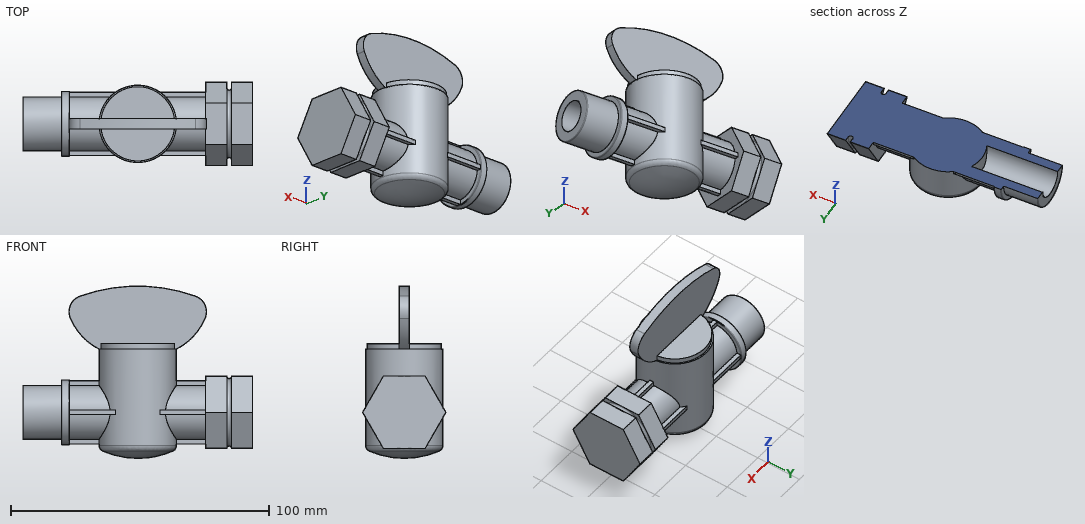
import math
import cadquery as cq


inlet_end_x = -44.5
outlet_end_x = -inlet_end_x
pipe_radius = 20.95 / 2
bore_radius = 12.59 / 2
edge_round = 0.25
collar_start_x = -29.6
collar_width = 3.2
collar_radius = 25.15 / 2
collar_end_x = collar_start_x + collar_width

rib_width = 1.85
rib_reach = 12.3

body_radius = 15.0
body_top_z = 24.45
dome_rim_z = -14.38
base_z = -17.88
base_round_radius = 2.4
overall_height = 66.81

cap_radius = 14.375
cap_top_z = 26.6
handle_thickness = 4.0
handle_top_z = base_z + overall_height
handle_top_radius = 66.0
handle_corner_x = 20.2
handle_corner_radius = 6.45
handle_side_angle = 23.0

hex_across_flats = 28.0
nut_start_x = 26.3
groove_start_x = 34.5
groove_end_x = 36.3
neck_radius = hex_across_flats / 2


def cylinder_along_x(radius, start_x, end_x):
    return cq.Workplane("YZ", origin=(start_x, 0, 0)).circle(radius).extrude(end_x - start_x)


def hexagon_along_x(start_x, end_x):
    """Hexagonal prism with corners on the Y axis and flats on top and bottom."""
    across_corners = hex_across_flats / math.cos(math.pi / 6)
    return cq.Workplane("YZ", origin=(start_x, 0, 0)).polygon(6, across_corners).extrude(end_x - start_x)


def make_pipe():
    pipe = cylinder_along_x(pipe_radius, inlet_end_x, nut_start_x)
    return pipe.faces("<X").edges().fillet(edge_round)


def make_collar():
    collar = cylinder_along_x(collar_radius, collar_start_x, collar_end_x)
    return collar.edges().fillet(edge_round)


def make_ribs():
    """Two crossed bars whose edges stand out as four ribs around the pipe."""
    length = nut_start_x - collar_end_x
    section = cq.Workplane("YZ", origin=(collar_end_x, 0, 0))
    upright = section.rect(rib_width, 2 * rib_reach).extrude(length)
    level = section.rect(2 * rib_reach, rib_width).extrude(length)
    return upright.union(level)


def make_body():
    """Cylinder with a rounded lower edge and a shallow domed base."""
    dome_drop = dome_rim_z - base_z
    dome_radius = (body_radius**2 + dome_drop**2) / (2 * dome_drop)
    body = (
        cq.Workplane("XZ")
        .moveTo(0, body_top_z)
        .lineTo(body_radius, body_top_z)
        .lineTo(body_radius, dome_rim_z)
        .radiusArc((0, base_z), dome_radius)
        .close()
        .revolve(360, (0, 0, 0), (0, 1, 0))
    )
    dome_rim = cq.selectors.NearestToPointSelector((0, 0, dome_rim_z))
    return body.edges("%CIRCLE").edges(dome_rim).fillet(base_round_radius)


def make_cap():
    return cq.Workplane("XY", origin=(0, 0, body_top_z)).circle(cap_radius).extrude(cap_top_z - body_top_z)


def make_handle():
    """Flat fan-shaped grip: crowned top, rounded corners, sides curving in to the body."""
    crown_center_z = handle_top_z - handle_top_radius
    center_gap = handle_top_radius - handle_corner_radius
    corner_z = crown_center_z + math.sqrt(center_gap**2 - handle_corner_x**2)
    crown_end_x = handle_corner_x * handle_top_radius / center_gap
    crown_end_z = crown_center_z + (corner_z - crown_center_z) * handle_top_radius / center_gap
    side_angle = math.radians(handle_side_angle)
    side_x = handle_corner_x + handle_corner_radius * math.cos(side_angle)
    side_z = corner_z - handle_corner_radius * math.sin(side_angle)
    right_half = (
        cq.Workplane("XZ")
        .moveTo(0, body_top_z)
        .lineTo(0, handle_top_z)
        .radiusArc((crown_end_x, crown_end_z), handle_top_radius)
        .radiusArc((side_x, side_z), handle_corner_radius)
        .tangentArcPoint((body_radius, body_top_z), relative=False)
        .close()
        .extrude(handle_thickness / 2, both=True)
    )
    return right_half.union(right_half.mirror("YZ"))


def make_nut():
    groove_radius = (groove_end_x - groove_start_x) / 2
    groove_mid_x = (groove_start_x + groove_end_x) / 2
    neck = (
        cq.Workplane("XY")
        .moveTo(groove_start_x, 0)
        .lineTo(groove_start_x, neck_radius)
        .threePointArc((groove_mid_x, neck_radius - groove_radius), (groove_end_x, neck_radius))
        .lineTo(groove_end_x, 0)
        .close()
        .revolve(360, (0, 0, 0), (1, 0, 0))
    )
    inner_half = hexagon_along_x(nut_start_x, groove_start_x)
    outer_half = hexagon_along_x(groove_end_x, outlet_end_x)
    return inner_half.union(neck).union(outer_half)


bore = cylinder_along_x(bore_radius, inlet_end_x, 0)
hollow_inlet = make_pipe().union(make_collar()).union(make_ribs()).cut(bore)

result = (
    hollow_inlet.union(make_body())
    .union(make_cap())
    .union(make_handle())
    .union(make_nut())
)